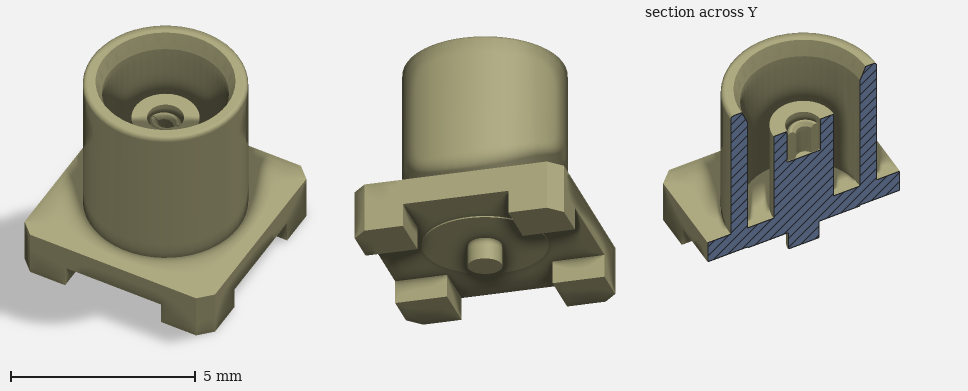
import cadquery as cq

side = 5.89
height = 5.89
base_height = 1.4
corner_chamfer = 0.375
foot_gap = 2.97
foot_height = 0.66

barrel_radius = 2.245
rim_fillet = 0.125
bore_radius = 1.72
mouth_radius = 1.895
mouth_depth = 0.455

insulator_radius = 0.925
insulator_top = height - 1.365
disc_thickness = 0.035

tail_radius = 0.47
socket_bore_radius = 0.5
socket_depth = 1.18
socket_floor = insulator_top - socket_depth
tine_recess = 0.135
tine_top = insulator_top - tine_recess
tine_radius = 0.48
tine_hole_radius = 0.26
tine_outer_chamfer = 0.055
tine_inner_chamfer = 0.095
tine_pinch = 0.1
tine_slot = 0.025


def cylinder(radius, bottom, top):
    return cq.Workplane("XY").workplane(offset=bottom).circle(radius).extrude(top - bottom)


def make_base():
    base = cq.Workplane("XY").rect(side, side).extrude(base_height)
    base = base.edges("|Z").chamfer(corner_chamfer)
    for length, width in ((side, foot_gap), (foot_gap, side)):
        channel = cq.Workplane("XY").rect(length, width).extrude(foot_height)
        base = base.cut(channel)
    return base


def make_barrel():
    barrel = cylinder(barrel_radius, base_height, height).faces(">Z").edges().fillet(rim_fillet)
    barrel = barrel.cut(cylinder(bore_radius, base_height, height))
    mouth = (
        cq.Workplane("XZ")
        .moveTo(0, height)
        .lineTo(mouth_radius, height)
        .lineTo(bore_radius, height - mouth_depth)
        .lineTo(0, height - mouth_depth)
        .close()
        .revolve(360, (0, 0, 0), (0, 1, 0))
    )
    return barrel.cut(mouth)


def make_insulator():
    boss = cylinder(insulator_radius, base_height, insulator_top)
    boss = boss.cut(cylinder(socket_bore_radius, socket_floor, insulator_top))
    disc = cylinder(bore_radius, foot_height - disc_thickness, foot_height)
    return boss, disc


def make_tine(direction):
    """Tine on the +Y or -Y side of the slot, for a direction of 1 or -1."""
    tine = cylinder(tine_radius, socket_floor, tine_top)
    tine = tine.faces(">Z").edges().chamfer(tine_outer_chamfer)
    tine = tine.cut(cylinder(tine_hole_radius, socket_floor, tine_top))
    tine = tine.faces(">Z").edges(cq.selectors.RadiusNthSelector(0))
    tine = tine.chamfer(tine_inner_chamfer)
    tine = tine.translate((0, -direction * tine_pinch, 0))
    keep = (
        cq.Workplane("XY")
        .center(0, direction * (tine_slot + side) / 2)
        .rect(side, side)
        .extrude(height)
    )
    return tine.intersect(keep)


result = make_base().union(make_barrel())
for insulator_piece in make_insulator():
    result = result.union(insulator_piece)
result = result.union(cylinder(tail_radius, 0, foot_height))
for tine_direction in (1, -1):
    result = result.union(make_tine(tine_direction))